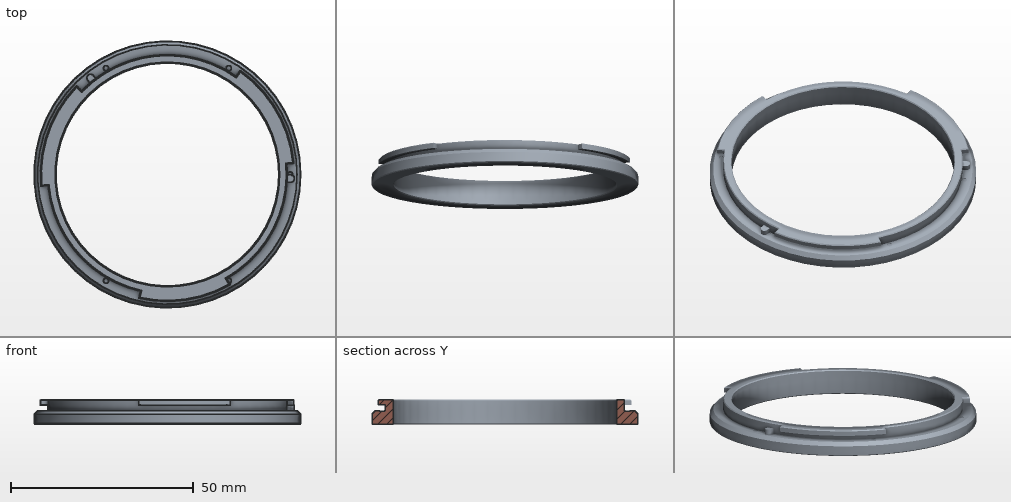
import cadquery as cq
import math


TOTAL_HEIGHT = 6.8
BORE_DIAMETER = 61.0
EDGE_BREAK = 0.25

FLANGE_DIAMETER = 73.0
FLANGE_HEIGHT = 3.8
FLANGE_TOP_CHAMFER = 1.0

NECK_DIAMETER = 65.6
TAB_DIAMETER = 69.5
TAB_THICKNESS = 1.5
TAB_ANGLES = [(5.0, 55.0), (135.7, 185.3), (257.0, 299.7)]

STOP_WIDTH = 2.0
STOP_CENTRE_RADIUS = 33.8
STOP_ANGLES = [-1.9, 128.5]

HOLE_DIAMETER = 1.4
HOLE_DEPTH = 0.1
HOLE_CIRCLE_RADIUS = 33.6
HOLE_COUNT = 6

NECK_RADIUS = NECK_DIAMETER / 2
TAB_RADIUS = TAB_DIAMETER / 2
TAB_UNDERSIDE = TOTAL_HEIGHT - TAB_THICKNESS
WALL_MIDDLE_RADIUS = (BORE_DIAMETER / 2 + NECK_RADIUS) / 2


def polar(radius, angle):
    """Point at the given radius and angle (degrees) around the ring axis."""
    return (radius * math.cos(math.radians(angle)), radius * math.sin(math.radians(angle)))


def make_flange():
    flange = cq.Workplane("XY").circle(FLANGE_DIAMETER / 2).extrude(FLANGE_HEIGHT)
    return flange.faces(">Z").chamfer(FLANGE_TOP_CHAMFER)


def make_neck():
    return cq.Workplane("XY").circle(NECK_RADIUS).extrude(TOTAL_HEIGHT)


def make_tab(start, end):
    """Ring sector with radial ends, rooted inside the neck wall."""
    middle = (start + end) / 2
    return (
        cq.Workplane("XY", origin=(0, 0, TAB_UNDERSIDE))
        .moveTo(*polar(WALL_MIDDLE_RADIUS, start))
        .lineTo(*polar(TAB_RADIUS, start))
        .threePointArc(polar(TAB_RADIUS, middle), polar(TAB_RADIUS, end))
        .lineTo(*polar(WALL_MIDDLE_RADIUS, end))
        .threePointArc(polar(WALL_MIDDLE_RADIUS, middle), polar(WALL_MIDDLE_RADIUS, start))
        .close()
        .extrude(TAB_THICKNESS)
    )


def make_stop(angle):
    """Round-ended stop with straight sides running back into the neck."""
    half_width = STOP_WIDTH / 2
    return (
        cq.Workplane("XY", origin=(0, 0, FLANGE_HEIGHT))
        .moveTo(WALL_MIDDLE_RADIUS, -half_width)
        .lineTo(STOP_CENTRE_RADIUS, -half_width)
        .threePointArc((STOP_CENTRE_RADIUS + half_width, 0), (STOP_CENTRE_RADIUS, half_width))
        .lineTo(WALL_MIDDLE_RADIUS, half_width)
        .close()
        .extrude(TAB_UNDERSIDE - FLANGE_HEIGHT)
        .rotate((0, 0, 0), (0, 0, 1), angle)
    )


def make_holes():
    return (
        cq.Workplane("XY", origin=(0, 0, FLANGE_HEIGHT))
        .polarArray(HOLE_CIRCLE_RADIUS, 0, 360, HOLE_COUNT)
        .circle(HOLE_DIAMETER / 2)
        .extrude(-HOLE_DEPTH)
    )


body = make_flange().union(make_neck())
for tab_start, tab_end in TAB_ANGLES:
    body = body.union(make_tab(tab_start, tab_end))

body = body.cut(cq.Workplane("XY").circle(BORE_DIAMETER / 2).extrude(TOTAL_HEIGHT))
body = body.faces(">Z or <Z").edges().chamfer(EDGE_BREAK)

body = body.cut(make_holes())
for stop_angle in STOP_ANGLES:
    body = body.union(make_stop(stop_angle))

result = body